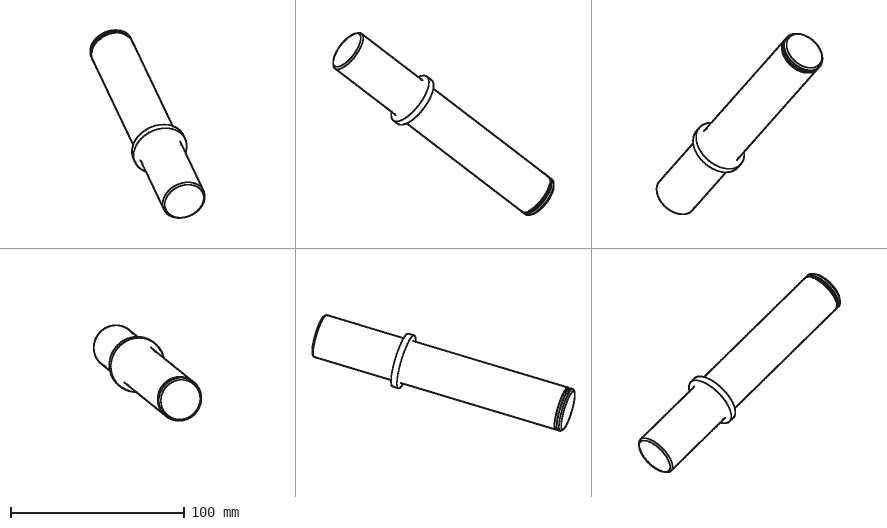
import cadquery as cq

shaft_length = 152.9
shaft_diameter = 25.4
shaft_radius = shaft_diameter / 2
end_chamfer = 1.0

collar_diameter = 32.0
collar_radius = collar_diameter / 2
collar_start = 99.2
collar_width = 3.7
collar_end = collar_start + collar_width
root_fillet = 0.5

groove_start = 2.5
groove_width = 1.4
groove_depth = 0.8


def cylinder_along_x(start, length, radius):
    return cq.Workplane("YZ", origin=(start, 0, 0)).circle(radius).extrude(length)


def make_shaft():
    shaft = cylinder_along_x(0, shaft_length, shaft_radius)
    return shaft.faces("<X or >X").edges().chamfer(end_chamfer)


def make_groove_cutter():
    blank = cylinder_along_x(groove_start, groove_width, collar_radius)
    core = cylinder_along_x(groove_start, groove_width, shaft_radius - groove_depth)
    return blank.cut(core)


def is_collar_root(edge):
    """True for the two circles where the collar meets the shaft."""
    at_collar = collar_start - root_fillet < edge.Center().x < collar_end + root_fillet
    return at_collar and edge.radius() < collar_radius - root_fillet


def add_collar(shaft):
    collar = cylinder_along_x(collar_start, collar_width, collar_radius)
    joined = shaft.union(collar)
    roots = joined.edges("%CIRCLE").filter(is_collar_root)
    return roots.fillet(root_fillet)


result = add_collar(make_shaft()).cut(make_groove_cutter())